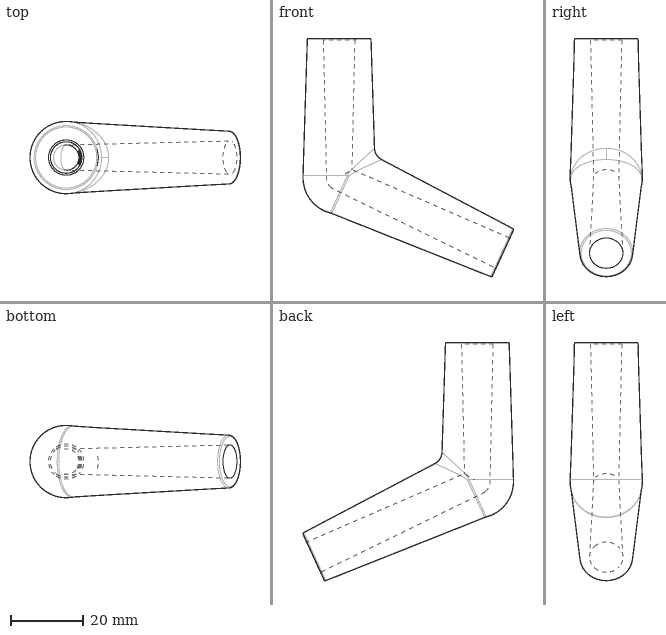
import cadquery as cq
import math

ball_radius = 10.09

upright_length = 38.7
upright_root_radius = ball_radius
upright_end_radius = 8.85

slope_angle = 24.7
slope_length = 50.0
slope_root_radius = 10.0
slope_end_radius = 7.35

end_fillet = 0.4
inner_bend_fillet = 3.65

bore_inner_radius = 3.5
bore_mouth_radius = 4.35
bore_chamfer = 0.5
bore_draft = math.atan((bore_mouth_radius - bore_inner_radius) / upright_length)


def cone_along_z(length, root_radius, end_radius):
    """Truncated cone standing on the origin along +Z."""
    return cq.Workplane("XY").add(cq.Solid.makeCone(root_radius, end_radius, length))


def tilt_to_slope(shape):
    """Swing a shape from +Z onto the axis of the sloping arm."""
    return shape.rotate((0, 0, 0), (0, 1, 0), 90 + slope_angle)


def tapered_arm(length, root_radius, end_radius):
    """Arm along +Z with the rim of its free end rounded."""
    return cone_along_z(length, root_radius, end_radius).faces(">Z").edges().fillet(end_fillet)


def elbow_body():
    """Both arms joined by the ball, with the inner corner of the bend rounded."""
    upright = tapered_arm(upright_length, upright_root_radius, upright_end_radius)
    sloping = tilt_to_slope(tapered_arm(slope_length, slope_root_radius, slope_end_radius))
    ball = cq.Workplane("XY").sphere(ball_radius)
    body = upright.union(sloping).union(ball)

    corner_region = cq.selectors.BoxSelector(
        (ball_radius / 2, -ball_radius, ball_radius / 4),
        (1.5 * ball_radius, ball_radius, ball_radius),
    )
    return body.edges(corner_region).fillet(inner_bend_fillet)


def bore_cavity():
    """Connected bores of both arms, with a chamfered mouth on the upright arm."""
    upright_bore = cone_along_z(upright_length, bore_inner_radius, bore_mouth_radius)
    mouth = cone_along_z(bore_chamfer, bore_mouth_radius, bore_mouth_radius + bore_chamfer)
    mouth = mouth.translate((0, 0, upright_length - bore_chamfer))

    slope_mouth_radius = bore_inner_radius + slope_length * math.tan(bore_draft)
    slope_bore = tilt_to_slope(cone_along_z(slope_length, bore_inner_radius, slope_mouth_radius))

    hollow = cq.Workplane("XY").sphere(bore_inner_radius)
    return upright_bore.union(mouth).union(slope_bore).union(hollow)


result = elbow_body().cut(bore_cavity())